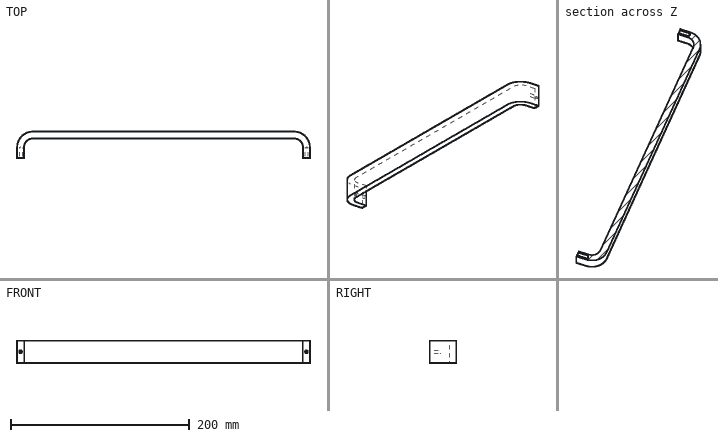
import cadquery as cq
import math

length = 328.0
depth = 30.0
height = 25.0
thickness = 8.0
outer_bend_radius = 18.0

hole_diameter = 3.3
hole_depth = 12.0
drill_point_angle = 118.0
drill_tip_diameter = 1.0

inner_bend_radius = outer_bend_radius - thickness
front_y = -depth / 2
back_y = depth / 2
hole_spacing = length - thickness


def rounded_block(width, block_back_y, bend_radius):
    """Block from the leg end faces to block_back_y, with its two back vertical edges rounded."""
    block_depth = block_back_y - front_y
    return (
        cq.Workplane("XY")
        .box(width, block_depth, height)
        .translate((0, front_y + block_depth / 2, 0))
        .edges("|Z and >Y")
        .fillet(bend_radius)
    )


def make_strip():
    """U-shaped strip of constant thickness: a straight grip with two bent legs."""
    outside = rounded_block(length, back_y, outer_bend_radius)
    inside = rounded_block(length - 2 * thickness, back_y - thickness, inner_bend_radius)
    return outside.cut(inside)


def hole_cutter(x):
    """Blind drilled hole at x, running along +Y from a leg end face to a blunt conical bottom."""
    hole_radius = hole_diameter / 2
    tip_radius = drill_tip_diameter / 2
    cone_depth = (hole_radius - tip_radius) / math.tan(math.radians(drill_point_angle / 2))
    half_section = [
        (0, 0),
        (hole_radius, 0),
        (hole_radius, hole_depth),
        (tip_radius, hole_depth + cone_depth),
        (0, hole_depth + cone_depth),
    ]
    return (
        cq.Workplane("XY", origin=(x, front_y, 0))
        .polyline(half_section)
        .close()
        .revolve(360, (0, 0, 0), (0, 1, 0))
    )


result = make_strip()
for side in (-1, 1):
    result = result.cut(hole_cutter(side * hole_spacing / 2))